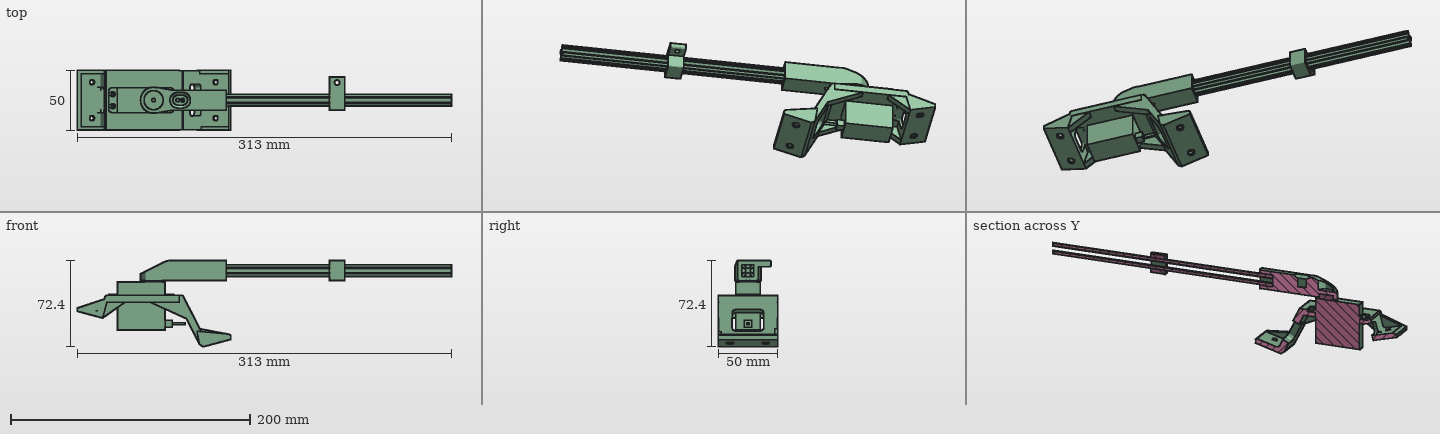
import cadquery as cq
import math


total_length = 313.0
foot_tilt = math.radians(15)

base_width = 50.0
plate_front = 23.5
plate_end = 85.5
plate_thick = 6.0
plate_bevel_run = 1.0
plate_bevel_drop = 1.3
step_inset = 0.3
rim_width = 2.8
rib_thick = 6.0
sole_thick = 4.7
pocket_fillet = 2.8
screw_hole_d = 4.0
screw_head_d = 6.0
screw_head_depth = 1.3
screw_offset_y = 15.0

toe_top_z = -10.5
toe_bottom_z = -13.5
toe_rim = 3.5
front_wall_thick = 2.8
rim_end_z = -3.0
front_rib_end_x = 39.7
front_screw_x = 12.5
window_width = 21.3
window_height = 10.3
window_radius = 2.5
window_depth = 9.5

leg_top_x = 88.2
leg_bevel = 0.5
leg_lean = math.radians(27)
leg_thick = 6.3
leg_end_z = -41.0
leg_bend_z = -19.7
rear_rib_start_x = 61.3
rear_fillet = 2.5
rear_tip_x = 128.3
rear_heel_x = 105.0
rear_heel_z = -43.2
rear_tip_height = 3.5
rear_tip_chamfer = 1.5
rear_back_x = 100.0
left_rim_z = -27.5
right_rim_z = -30.0
rear_screw_x = 115.5
leg_window_width = 26.3
leg_window_length = 20.0
leg_window_low_z = -29.7
leg_window_radius = 3.0

servo_front = 33.5
servo_length = 40.0
servo_width = 20.5
servo_top = 11.3
servo_bottom = -29.0
flange_length = 54.5
flange_thick = 2.5
flange_top = 1.0
flange_radius = 2.8
flange_hole_d = 4.0
flange_slot = 2.0
flange_hole_margin = 3.5
flange_hole_y = 5.0
pilot_d = 2.0
pilot_depth = 4.7
boot_length = 6.0
boot_size = 6.0
boot_z = -23.8
cable_d = 2.0
cable_end_x = 90.0

horn_d = 15.0
horn_height = 4.5

arm_bottom = 12.2
arm_size = 17.0
arm_straight_x = 79.0
arm_end = 124.5
hub_x = 63.8
hub_d = 22.0
cup_d = 16.0
cup_floor = 7.0
pivot_hole_d = 3.0
hub_low_height = 5.5
slope_end_x = 75.0
slope_blend = 12.5
slot_x = 86.0
slot_shift = 4.0
slot_top_d = 13.0
slot_d = 8.0
slot_cone_depth = 2.5

beam_size = 10.0
beam_start = 113.0
beam_corner = 1.0
beam_slot = 3.8
beam_rebate = 1.0
beam_rebate_depth = 0.5
beam_lip = 1.1
beam_cavity = 4.5
beam_slot_depth = 3.0

slider_x = 210.5
slider_length = 13.0
ear_tip_y = 19.5
ear_thick = 5.3
ear_hole_y = 14.7
ear_hole_d = 4.0
slider_fillet = 1.5
slider_low_fillet = 1.0

half_width = base_width / 2
servo_mid_x = servo_front + servo_length / 2
beam_z = arm_bottom + arm_size / 2
slope = math.tan(foot_tilt)
lean = math.tan(leg_lean)


def extruded_y(points, y_low, y_high):
    """Prism along Y over an outline of (x, z) points."""
    return cq.Workplane("XZ", origin=(0, y_high, 0)).polyline(points).close().extrude(y_high - y_low)


def tilted_hole(x, z, y, diameter, bottom, top, tilt):
    """Cylinder through (x, y, z), square to a sole that falls towards +X at the angle `tilt`."""
    axis = cq.Vector(math.sin(tilt), 0, math.cos(tilt))
    start = cq.Vector(x, y, z) + axis * bottom
    return cq.Workplane(obj=cq.Solid.makeCylinder(diameter / 2, top - bottom, start, axis))


def cut_screw_holes(body, x, floor_z, tilt):
    """Two screw holes square to a foot sole, with head recesses underneath."""
    for y in (-screw_offset_y, screw_offset_y):
        body = body.cut(tilted_hole(x, floor_z, y, screw_hole_d, -2 * sole_thick, sole_thick, tilt))
        recess_top = screw_head_depth - sole_thick
        body = body.cut(tilted_hole(x, floor_z, y, screw_head_d, -2 * sole_thick, recess_top, tilt))
    return body


def leg_outer_x(z):
    return leg_top_x - z * lean


def leg_inner_x(z):
    return leg_outer_x(z) - leg_thick / math.cos(leg_lean)


def front_floor_z(x):
    return toe_floor_z - (x - toe_rim) * slope


rim_end_x = plate_front + rim_end_z * slope
toe_floor_z = toe_top_z + toe_rim * (rim_end_z - toe_top_z) / rim_end_x
pocket_corner_x = (plate_front + slope * toe_floor_z + slope ** 2 * toe_rim) / (1 + slope ** 2)
pocket_corner_z = front_floor_z(pocket_corner_x)
wall_step = front_wall_thick / math.cos(foot_tilt)
wall_back_x = plate_front + wall_step - plate_thick * slope
front_heel_x = (plate_front + wall_step + slope * toe_bottom_z) / (1 + slope ** 2)
front_heel_z = toe_bottom_z - front_heel_x * slope


def rear_sole_z(x):
    return rear_heel_z + (x - rear_heel_x) * slope


def rear_floor_z(x):
    return rear_sole_z(x) + sole_thick / math.cos(foot_tilt)


def front_part():
    """Plate and front foot in one outline, then the pocket and window of the foot."""
    outline = [
        (0, toe_top_z),
        (rim_end_x, rim_end_z),
        (plate_front - plate_bevel_drop * slope, -plate_bevel_drop),
        (plate_front + plate_bevel_run, 0),
        (plate_end, 0),
        (plate_end, -plate_thick),
        (wall_back_x, -plate_thick),
        (front_heel_x, front_heel_z),
        (0, toe_bottom_z),
    ]
    body = extruded_y(outline, -half_width, half_width)
    wall_top_x = pocket_corner_x + (3 - pocket_corner_z) * slope
    pocket_outline = [
        (toe_rim, toe_floor_z),
        (pocket_corner_x, pocket_corner_z),
        (wall_top_x, 3),
        (toe_rim, 3),
    ]
    pocket = extruded_y(pocket_outline, rim_width - half_width, half_width - rim_width)
    pocket = pocket.edges(cq.selectors.NearestToPointSelector((pocket_corner_x, 0, pocket_corner_z)))
    body = body.cut(pocket.fillet(pocket_fillet))
    body = body.cut(extruded_y(pocket_outline, -window_width / 2, window_width / 2))

    window_plane = cq.Plane(
        origin=(pocket_corner_x, 0, pocket_corner_z),
        xDir=(0, 1, 0),
        normal=(math.cos(foot_tilt), 0, -math.sin(foot_tilt)))
    window = (
        cq.Workplane(window_plane)
        .center(0, window_height / 2)
        .rect(window_width, window_height)
        .extrude(window_depth)
        .edges(cq.selectors.ParallelDirSelector(window_plane.zDir))
        .fillet(window_radius))
    body = body.cut(window)
    return cut_screw_holes(body, front_screw_x, front_floor_z(front_screw_x), foot_tilt)


def leg():
    """Leaning leg with a rounded window square to it."""
    body = extruded_y(
        [
            (plate_end, 0),
            (leg_top_x - leg_bevel, 0),
            (leg_outer_x(-leg_bevel), -leg_bevel),
            (leg_outer_x(leg_end_z), leg_end_z),
            (leg_inner_x(leg_end_z), leg_end_z),
            (leg_inner_x(-plate_thick), -plate_thick),
            (plate_end, -plate_thick),
        ],
        step_inset - half_width, half_width - step_inset)
    window_plane = cq.Plane(
        origin=(leg_outer_x(leg_window_low_z), 0, leg_window_low_z),
        xDir=(0, -1, 0),
        normal=(-math.cos(leg_lean), 0, -math.sin(leg_lean)))
    window = (
        cq.Workplane(window_plane)
        .center(0, leg_window_length / 2)
        .rect(leg_window_width, leg_window_length)
        .extrude(1.5 * leg_thick, both=True)
        .edges(cq.selectors.ParallelDirSelector(window_plane.zDir))
        .fillet(leg_window_radius))
    return body.cut(window)


def ribs():
    """Side ribs under the plate: a pair to the front foot and a pair to the leg."""
    front = [(wall_back_x, -plate_thick), (front_rib_end_x, -plate_thick), (front_heel_x, front_heel_z)]
    rear = [
        (rear_rib_start_x, -plate_thick),
        (plate_end, -plate_thick),
        (leg_outer_x(leg_bend_z), leg_bend_z),
        (leg_inner_x(leg_bend_z), leg_bend_z),
    ]
    outer = half_width - step_inset
    bodies = [extruded_y(points, outer - rib_thick, outer) for points in (front, rear)]
    bodies += [body.mirror("XZ") for body in bodies]
    return bodies


def rear_foot():
    """Rear sole with a border on each side, the +Y border rising higher on the leg."""
    tip_z = rear_sole_z(rear_tip_x)
    tip_top_z = tip_z + rear_tip_height
    tip = [(rear_tip_x, tip_top_z), (rear_tip_x, tip_z)]
    heel = [(rear_heel_x, rear_heel_z), (leg_inner_x(leg_end_z), leg_end_z)]
    floor_start = (leg_inner_x(leg_end_z), rear_floor_z(leg_inner_x(leg_end_z)))
    floor_end_x = rear_tip_x - rear_tip_chamfer
    floor_end = (floor_end_x, rear_floor_z(floor_end_x))
    body = extruded_y([floor_start, floor_end, *tip, *heel], -half_width, half_width)
    borders = (
        (right_rim_z, -half_width, rim_width - half_width),
        (left_rim_z, half_width - rim_width, half_width),
    )
    for rim_z, y_low, y_high in borders:
        body = body.union(extruded_y([(rear_back_x, rim_z), floor_end, *tip, *heel], y_low, y_high))
    return body


def rear_blend():
    """Concave fillet between the leg and the rear sole."""
    corner_x = (leg_top_x - lean * rear_floor_z(0)) / (1 + lean * slope)
    corner_z = rear_floor_z(corner_x)
    reach = rear_fillet * math.tan((math.pi / 2 + foot_tilt - leg_lean) / 2)
    on_leg = (corner_x - reach * math.sin(leg_lean), corner_z + reach * math.cos(leg_lean))
    on_sole = (corner_x + reach * math.cos(foot_tilt), corner_z + reach * math.sin(foot_tilt))
    length = base_width - 2 * rim_width
    return (
        cq.Workplane("XZ", origin=(0, length / 2, 0))
        .moveTo(*on_sole)
        .radiusArc(on_leg, rear_fillet)
        .lineTo(corner_x, corner_z)
        .close()
        .extrude(length))


def make_base():
    body = front_part()
    for piece in [leg(), rear_foot(), *ribs()]:
        body = body.union(piece)
    body = body.union(rear_blend())
    body = cut_screw_holes(body, rear_screw_x, rear_floor_z(rear_screw_x), -foot_tilt)
    body = body.cut(servo_body_box()).cut(servo_flange())
    for x, y in flange_hole_places():
        body = body.cut(cq.Workplane(origin=(x, y, -pilot_depth)).circle(pilot_d / 2).extrude(pilot_depth))
    return body


def servo_body_box():
    height = servo_top - servo_bottom
    return cq.Workplane(origin=(servo_mid_x, 0, servo_bottom)).rect(servo_length, servo_width).extrude(height)


def servo_flange():
    return (
        cq.Workplane(origin=(servo_mid_x, 0, flange_top - flange_thick))
        .rect(flange_length, servo_width)
        .extrude(flange_thick)
        .edges("|Z")
        .fillet(flange_radius))


def flange_hole_places():
    reach = flange_length / 2 - flange_hole_margin
    return [(servo_mid_x + sx * reach, sy * flange_hole_y) for sx in (-1, 1) for sy in (-1, 1)]


def make_servo():
    """Servo with a slotted mounting flange and a cable leaving its +X end."""
    flange = servo_flange()
    for x, y in flange_hole_places():
        outward = math.copysign(flange_hole_margin, x - servo_mid_x)
        blank = cq.Workplane(origin=(x, y, flange_top - flange_thick))
        slot = blank.center(outward, 0).rect(2 * flange_hole_margin, flange_slot).extrude(flange_thick)
        flange = flange.cut(blank.circle(flange_hole_d / 2).extrude(flange_thick)).cut(slot)
    servo_back = servo_front + servo_length
    boot = (
        cq.Workplane("YZ", origin=(servo_back, 0, boot_z))
        .rect(boot_size, boot_size)
        .extrude(boot_length))
    cable = (
        cq.Workplane("YZ", origin=(servo_back, 0, boot_z))
        .circle(cable_d / 2)
        .extrude(cable_end_x - servo_back))
    return servo_body_box().union(flange).union(boot).union(cable)


def horn_disc():
    return cq.Workplane(origin=(hub_x, 0, servo_top)).circle(horn_d / 2).extrude(horn_height)


def make_horn():
    """Drive disc on the servo top, seated in the underside of the hub."""
    hole = cq.Workplane(origin=(hub_x, 0, servo_top)).circle(pivot_hole_d / 2).extrude(horn_height)
    return horn_disc().cut(hole)


def arm_blank():
    """Round hub blended by tangent flanks into a square bar."""
    half = arm_size / 2
    reach = arm_straight_x - hub_x
    angle = math.atan2(half, reach) + math.acos(hub_d / 2 / math.hypot(reach, half))
    touch_x = hub_x + hub_d / 2 * math.cos(angle)
    touch_y = hub_d / 2 * math.sin(angle)
    return (
        cq.Workplane(origin=(0, 0, arm_bottom))
        .moveTo(touch_x, touch_y)
        .threePointArc((hub_x - hub_d / 2, 0), (touch_x, -touch_y))
        .lineTo(arm_straight_x, -half)
        .lineTo(arm_end, -half)
        .lineTo(arm_end, half)
        .lineTo(arm_straight_x, half)
        .close()
        .extrude(arm_size))


def make_arm():
    """Arm with a sloping cupped hub, a countersunk slot and a socket for the beam."""
    hub_left = hub_x - hub_d / 2
    top = arm_bottom + arm_size
    side_outline = (
        extruded_y(
            [
                (hub_left, arm_bottom),
                (hub_left, arm_bottom + hub_low_height),
                (slope_end_x, top),
                (arm_end, top),
                (arm_end, arm_bottom),
            ],
            -hub_d, hub_d)
        .edges(cq.selectors.NearestToPointSelector((slope_end_x, 0, top)))
        .fillet(slope_blend))
    body = arm_blank().intersect(side_outline)
    floor = arm_bottom + cup_floor
    body = body.cut(cq.Workplane(origin=(hub_x, 0, floor)).circle(cup_d / 2).extrude(arm_size))
    slot = cq.Workplane(origin=(slot_x, 0, floor)).slot2D(slot_d + slot_shift, slot_d).extrude(arm_size)
    cone_angle = math.degrees(math.atan((slot_top_d - slot_d) / 2 / slot_cone_depth))
    cone = (
        cq.Workplane("XY", origin=(slot_x, 0, top))
        .slot2D(slot_top_d + slot_shift, slot_top_d)
        .extrude(-slot_cone_depth, taper=cone_angle))
    body = body.cut(slot).cut(cone)
    for x in (hub_x, slot_x - slot_shift / 2, slot_x + slot_shift / 2):
        body = body.cut(cq.Workplane(origin=(x, 0, arm_bottom)).circle(pivot_hole_d / 2).extrude(cup_floor))
    return body.cut(horn_disc()).cut(beam_envelope())


def beam_envelope():
    return (
        cq.Workplane("YZ", origin=(beam_start, 0, beam_z))
        .rect(beam_size, beam_size)
        .extrude(total_length - beam_start)
        .edges("|X")
        .fillet(beam_corner))


def make_beam():
    """Square bar with a stepped, round-bottomed T-slot along each side."""
    half = beam_size / 2
    lip_top = half - beam_rebate_depth
    lip_bottom = half - beam_lip
    mouth = beam_slot / 2 + beam_rebate
    slot = (
        cq.Workplane("YZ", origin=(beam_start, 0, beam_z))
        .moveTo(mouth, half)
        .lineTo(mouth, lip_top)
        .lineTo(beam_slot / 2, lip_top)
        .lineTo(beam_slot / 2, lip_bottom)
        .lineTo(beam_cavity / 2, lip_bottom)
        .threePointArc((0, half - beam_slot_depth), (-beam_cavity / 2, lip_bottom))
        .lineTo(-beam_slot / 2, lip_bottom)
        .lineTo(-beam_slot / 2, lip_top)
        .lineTo(-mouth, lip_top)
        .lineTo(-mouth, half)
        .close()
        .extrude(total_length - beam_start))
    body = beam_envelope()
    for turn in range(4):
        body = body.cut(slot.rotate((0, 0, beam_z), (1, 0, beam_z), 90 * turn))
    return body


def make_slider():
    """Block riding on the beam, with a drilled ear on its +Y side."""
    half = arm_size / 2
    ear_low = half - ear_thick
    ear_corners = [(ear_tip_y, ear_low), (ear_tip_y, half)]
    block_corners = [(-half, half), (-half, -half), (half, -half)]
    block = (
        cq.Workplane("YZ", origin=(slider_x, 0, beam_z))
        .polyline([*block_corners, (half, ear_low), *ear_corners])
        .close()
        .extrude(slider_length))
    for y, z in block_corners + ear_corners:
        radius = slider_low_fillet if z < 0 else slider_fillet
        corner = (slider_x + slider_length / 2, y, beam_z + z)
        block = block.edges(cq.selectors.NearestToPointSelector(corner)).fillet(radius)
    hole = (
        cq.Workplane(origin=(slider_x + slider_length / 2, ear_hole_y, beam_z))
        .circle(ear_hole_d / 2)
        .extrude(arm_size))
    return block.cut(hole).cut(beam_envelope())


base = make_base()
servo = make_servo()
horn = make_horn()
arm = make_arm()
beam = make_beam()
slider = make_slider()

result = cq.Compound.makeCompound([
    base.val(),
    servo.val(),
    horn.val(),
    arm.val(),
    beam.val(),
    slider.val(),
])